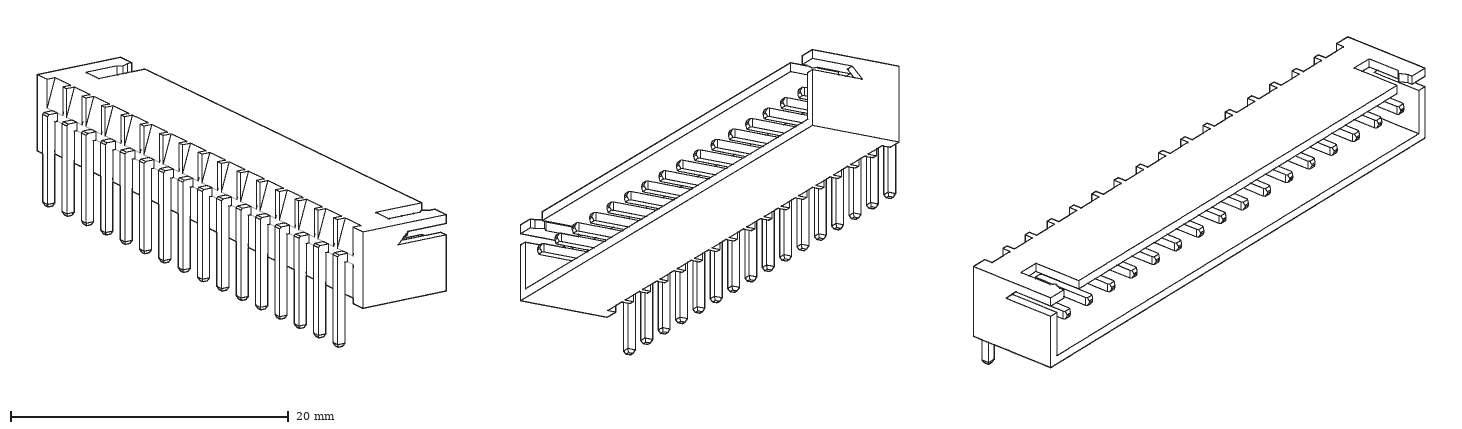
import cadquery as cq


length = 42.75
depth = 7.2
height = 5.8
top_wall = 0.7
bottom_wall = 0.7
end_wall = 0.73
mouth_depth = 5.15

pin_count = 16
pin_span = 38.1
pin_pitch = pin_span / (pin_count - 1)
pin_size = 0.65
pin_top_z = -2.2
pin_bottom_z = -9.25
pin_front_gap = 0.2
leg_outer_y = -0.85
bend_chamfer = 0.13
tip_inset = 0.13
tip_length = 0.25

pocket_width = 2.05
pocket_depth = 0.7

top_slot_inset = 1.5
top_slot_width = 1.7
top_slot_depth = 3.98
barb_height = 0.3
barb_start = 0.4
barb_peak = 1.0
barb_end = 1.3

slit_bottom_z = -1.55
slit_top_depth = 3.3
slit_bottom_depth = 4.15

pin_xs = [-pin_span / 2 + index * pin_pitch for index in range(pin_count)]


def box(x_range, y_range, z_range):
    """Axis-aligned block given by its limits along X, Y and Z."""
    spans = [high - low for low, high in (x_range, y_range, z_range)]
    corner = (x_range[0], y_range[0], z_range[0])
    return cq.Workplane("XY").box(*spans, centered=False).translate(corner)


def side_profile(points, width, x_center):
    """Extrude a (y, z) outline to the given width, centered on x_center."""
    return cq.Workplane("YZ", origin=(x_center - width / 2, 0, 0)).polyline(points).close().extrude(width)


def make_housing():
    """Hollow body, open at +Y, with slits through both end walls."""
    body = box((-length / 2, length / 2), (0, depth), (-height, 0))
    mouth = box(
        (-length / 2 + end_wall, length / 2 - end_wall),
        (depth - mouth_depth, depth),
        (-height + bottom_wall, -top_wall),
    )
    slit_outline = [
        (depth, -top_wall),
        (depth - slit_top_depth, -top_wall),
        (depth - slit_bottom_depth, slit_bottom_z),
        (depth, slit_bottom_z),
    ]
    return body.cut(mouth).cut(side_profile(slit_outline, length, 0))


def make_top_slot():
    """Slot in the top wall at the -X end; a barb on the outer arm narrows its entry."""
    outer_x = -length / 2 + top_slot_inset
    inner_x = outer_x + top_slot_width
    outline = [
        (inner_x, depth),
        (inner_x, depth - top_slot_depth),
        (outer_x, depth - top_slot_depth),
        (outer_x, depth - barb_end),
        (outer_x + barb_height, depth - barb_peak),
        (outer_x, depth - barb_start),
        (outer_x, depth),
    ]
    return cq.Workplane("XY").polyline(outline).close().extrude(-top_wall)


def make_rear_pockets(x_center):
    """Two wedge pockets that deepen away from the ridge holding the pin."""
    upper = [(0, pin_top_z), (0, 0), (pocket_depth, 0)]
    lower = [(0, pin_top_z - pin_size), (0, -height), (pocket_depth, -height)]
    return side_profile(upper, pocket_width, x_center).union(side_profile(lower, pocket_width, x_center))


def make_pin(x_center):
    """Horizontal contact through the rear wall and a downward leg with a tapered tip."""
    half = pin_size / 2
    x_range = (x_center - half, x_center + half)
    contact = box(x_range, (leg_outer_y, depth - pin_front_gap), (pin_top_z - pin_size, pin_top_z))
    contact = contact.faces(">Y").chamfer(tip_length, tip_inset)
    contact = contact.edges("|X and <Y and >Z").chamfer(bend_chamfer)
    leg = box(x_range, (leg_outer_y, leg_outer_y + pin_size), (pin_bottom_z, pin_top_z - pin_size))
    leg = leg.faces("<Z").chamfer(tip_length, tip_inset)
    return contact.union(leg)


result = make_housing()
top_slot = make_top_slot()
result = result.cut(top_slot).cut(top_slot.mirror("YZ"))
for pin_x in pin_xs:
    result = result.cut(make_rear_pockets(pin_x))
for pin_x in pin_xs:
    result = result.union(make_pin(pin_x))